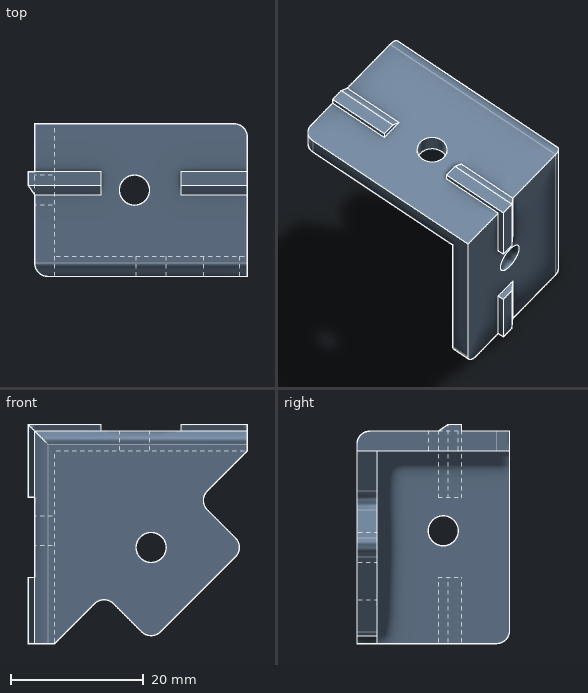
import cadquery as cq

outer_size = 33.0
depth = 23.0
key_height = 1.0
wall = 3.0
edge_radius = 2.0
corner_radius = 2.0
hole_diameter = 4.5

key_front = 12.28
key_width = 3.5
key_slope_width = 1.45
corner_key_length = 11.0
end_key_length = 10.0

side_hole_offset = 16.0
side_hole_depth = 13.0
front_hole_offset = 18.5

tab_half_width = 14.12
notch_radius = 2.0
tab_radius = 2.0

body_top = outer_size - key_height
key_back = key_front + key_width
wall_reach = key_height + wall
shoulder_sum = outer_size + wall_reach
notch_far = (shoulder_sum + tab_half_width) / 2
notch_near = (shoulder_sum - tab_half_width) / 2
tab_near = front_hole_offset
tab_far = tab_near + tab_half_width


def box(low, high):
    """Box between two opposite corners."""
    sizes = [b - a for a, b in zip(low, high)]
    return cq.Workplane("XY").box(*sizes, centered=False).translate(low)


def front_profile():
    """Front wall outline as (distance from left, distance from top), turned into XZ points."""
    points = [
        (key_height, key_height),
        (outer_size, key_height),
        (outer_size, wall_reach),
        (notch_far, notch_near),
        (tab_far, tab_near),
        (tab_near, tab_far),
        (notch_near, notch_far),
        (wall_reach, outer_size),
        (key_height, outer_size),
    ]
    return [(across, outer_size - down) for across, down in points]


def round_front_corner(body, across, down, radius):
    """Round the Y-direction edges at a front outline corner and at its mirror twin."""
    for x, drop in ((across, down), (down, across)):
        corner = cq.selectors.NearestToPointSelector((x, wall / 2, outer_size - drop))
        body = body.edges("|Y").edges(corner).fillet(radius)
    return body


def front_wall():
    body = cq.Workplane("XZ").polyline(front_profile()).close().extrude(-wall)
    body = round_front_corner(body, notch_far, notch_near, notch_radius)
    return round_front_corner(body, tab_far, tab_near, tab_radius)


def walls():
    top = box((key_height, 0, outer_size - wall_reach), (outer_size, depth, body_top))
    top = top.edges("|Z and >X and >Y").fillet(corner_radius)
    left = box((key_height, 0, 0), (wall_reach, depth, body_top))
    left = left.edges("|X and <Z and >Y").fillet(corner_radius)
    body = front_wall().union(top).union(left)
    top_front = cq.selectors.NearestToPointSelector((outer_size / 2, 0, body_top))
    left_front = cq.selectors.NearestToPointSelector((key_height, 0, outer_size / 2))
    outer_edges = body.edges(top_front).add(body.edges(left_front))
    return outer_edges.fillet(edge_radius)


def keys():
    """Ridges with a sloped front side, mitred where they turn the corner."""
    slope_end = key_front + key_slope_width
    across_top = (
        cq.Workplane("YZ")
        .polyline([(key_front, 0), (key_front, body_top), (slope_end, outer_size),
                   (key_back, outer_size), (key_back, 0)])
        .close().extrude(outer_size)
    )
    down_left = (
        cq.Workplane("XY")
        .polyline([(outer_size, key_front), (key_height, key_front), (0, slope_end),
                   (0, key_back), (outer_size, key_back)])
        .close().extrude(outer_size)
    )
    ridge = across_top.intersect(down_left)
    ridge = ridge.cut(box((wall_reach, 0, 0), (outer_size, depth, outer_size - wall_reach)))
    gap_end = outer_size - end_key_length
    top_gap = box((corner_key_length, 0, body_top), (gap_end, depth, outer_size))
    left_gap = box((0, 0, end_key_length), (key_height, depth, outer_size - corner_key_length))
    return ridge.cut(top_gap).cut(left_gap)


def holes():
    side_height = outer_size - side_hole_offset
    front = cq.Workplane("XZ").center(front_hole_offset, outer_size - front_hole_offset)
    top = cq.Workplane("XY", origin=(0, 0, outer_size - wall_reach))
    top = top.center(side_hole_offset, side_hole_depth)
    left = cq.Workplane("YZ").center(side_hole_depth, side_height)
    radius = hole_diameter / 2
    return (
        front.circle(radius).extrude(-wall)
        .union(top.circle(radius).extrude(wall_reach))
        .union(left.circle(radius).extrude(wall_reach))
    )


result = walls().union(keys()).cut(holes())